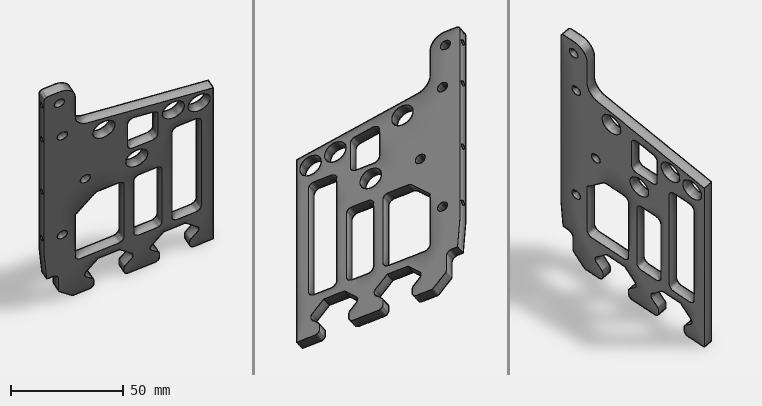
import cadquery as cq
import math

thickness = 5.0
depth = 85.0
height = 148.0

neck_width = 15.6
shoulder_angle = math.radians(10)
shoulder_back_height = 106.9
neck_radius = 8.0
top_front_radius = 2.0

taper_height = 36.0
taper_setback = 1.3
toe_setback = 7.1
toe_chamfer = 7.1
step_radius = 3.0
toe_radius = 2.0

rail_slot_front_centre = 32.5
rail_slot_count = 2
rail_slot_pitch = 33.0
rail_mouth_half_width = 7.55
rail_apex_half_width = 13.2
rail_apex_height = 11.3
rail_slot_top = 19.1
rail_radius = 2.5

pocket_floor = 24.0
pocket_radius = 3.0
tall_pocket_front, tall_pocket_back = 64.2, 78.9
tall_pocket_top = 90.0
low_pocket_top = 66.7
middle_pocket_front, middle_pocket_back = 45.0, 59.2
front_pocket_back = 40.1
front_pocket_chamfer = 10.3
upper_pocket_front, upper_pocket_back = 41.9, 57.1
upper_pocket_floor = 87.3
upper_pocket_margin = 5.3

large_hole_diameter = 11.05
large_hole_centres = [(77.8, 100.4), (64.9, 102.7), (30.0, 108.8), (46.5, 79.1)]
cross_hole_diameter = 5.1
cross_hole_centres = [(7.6, 140.1), (9.1, 116.1), (20.7, 79.1), (9.1, 46.1)]
edge_hole_diameter = 2.53


def shoulder_height(y):
    """Height of the sloping shoulder line at a given y."""
    return shoulder_back_height + (depth - y) * math.tan(shoulder_angle)


def rounded_prism(corners):
    """Extrude a closed outline of (y, z, radius) corners through the thickness."""
    stretches = []
    for i, (y, z, radius) in enumerate(corners):
        corner = cq.Vector(y, z)
        if radius == 0:
            stretches.append((corner,))
            continue
        before = cq.Vector(*corners[i - 1][:2])
        after = cq.Vector(*corners[(i + 1) % len(corners)][:2])
        to_before = (before - corner).normalized()
        to_after = (after - corner).normalized()
        half_angle = to_before.getAngle(to_after) / 2
        tangent_length = radius / math.tan(half_angle)
        apex_distance = radius / math.sin(half_angle) - radius
        bisector = (to_before + to_after).normalized()
        arc_start = corner + to_before * tangent_length
        arc_middle = corner + bisector * apex_distance
        arc_end = corner + to_after * tangent_length
        stretches.append((arc_start, arc_middle, arc_end))

    outline = cq.Workplane("YZ").moveTo(*stretches[0][-1].toTuple()[:2])
    for stretch in stretches[1:] + stretches[:1]:
        outline = outline.lineTo(*stretch[0].toTuple()[:2])
        if len(stretch) > 1:
            outline = outline.threePointArc(stretch[1].toTuple()[:2], stretch[2].toTuple()[:2])
    return outline.close().extrude(thickness)


def rail_slot_side(centre, side):
    """Corners of one flank of a rail slot, from the foot up; side is -1 (front) or +1 (back)."""
    mouth_y = centre + side * rail_mouth_half_width
    mouth_z = rail_apex_height - (rail_apex_half_width - rail_mouth_half_width)
    top_half_width = rail_apex_half_width - (rail_slot_top - rail_apex_height)
    return [
        (mouth_y, 0, rail_radius),
        (mouth_y, mouth_z, rail_radius),
        (centre + side * rail_apex_half_width, rail_apex_height, rail_radius),
        (centre + side * top_half_width, rail_slot_top, 0),
    ]


def plate_blank():
    corners = [
        (0, height, top_front_radius),
        (0, taper_height, 0),
        (taper_setback, rail_slot_top, 0),
        (toe_setback, rail_slot_top, step_radius),
        (toe_setback, toe_chamfer, toe_radius),
        (toe_setback + toe_chamfer, 0, toe_radius),
    ]
    for i in range(rail_slot_count):
        centre = rail_slot_front_centre + i * rail_slot_pitch
        corners += rail_slot_side(centre, -1)
        corners += reversed(rail_slot_side(centre, 1))
    corners += [
        (depth, 0, 0),
        (depth, shoulder_back_height, 0),
        (neck_width, shoulder_height(neck_width), neck_radius),
        (neck_width, height, neck_radius),
    ]
    return rounded_prism(corners)


def rectangular_pocket(front, back, top):
    return rounded_prism([
        (front, pocket_floor, pocket_radius),
        (back, pocket_floor, pocket_radius),
        (back, top, pocket_radius),
        (front, top, pocket_radius),
    ])


def front_pocket():
    return rounded_prism([
        (neck_width, pocket_floor, pocket_radius),
        (front_pocket_back, pocket_floor, pocket_radius),
        (front_pocket_back, low_pocket_top, pocket_radius),
        (neck_width + front_pocket_chamfer, low_pocket_top, pocket_radius),
        (neck_width, low_pocket_top - front_pocket_chamfer, 0),
    ])


def upper_pocket():
    front_top = shoulder_height(upper_pocket_front) - upper_pocket_margin
    back_top = shoulder_height(upper_pocket_back) - upper_pocket_margin
    return rounded_prism([
        (upper_pocket_front, upper_pocket_floor, pocket_radius),
        (upper_pocket_back, upper_pocket_floor, pocket_radius),
        (upper_pocket_back, back_top, pocket_radius),
        (upper_pocket_front, front_top, pocket_radius),
    ])


def through_holes(centres, diameter):
    return cq.Workplane("YZ").pushPoints(centres).circle(diameter / 2).extrude(thickness)


def edge_hole(y, z):
    """Hole drilled in from the front edge until it meets the cross hole at (y, z)."""
    start = cq.Vector(thickness / 2, 0, z)
    return cq.Solid.makeCylinder(edge_hole_diameter / 2, y, start, cq.Vector(0, 1, 0))


result = plate_blank()
result = result.cut(rectangular_pocket(tall_pocket_front, tall_pocket_back, tall_pocket_top))
result = result.cut(rectangular_pocket(middle_pocket_front, middle_pocket_back, low_pocket_top))
result = result.cut(front_pocket())
result = result.cut(upper_pocket())
result = result.cut(through_holes(large_hole_centres, large_hole_diameter))
result = result.cut(through_holes(cross_hole_centres, cross_hole_diameter))
for hole_y, hole_z in cross_hole_centres:
    result = result.cut(edge_hole(hole_y, hole_z))